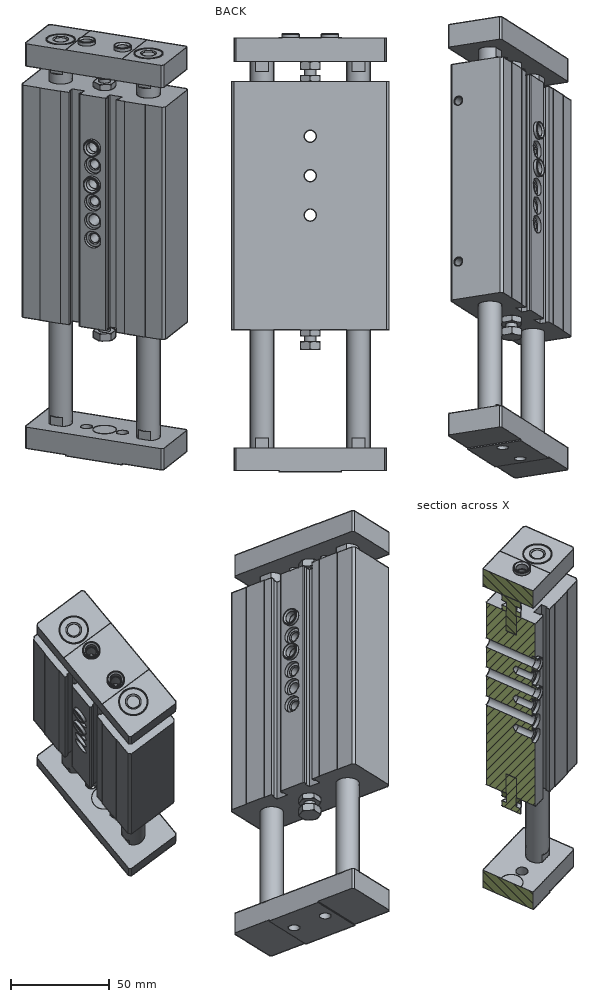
import cadquery as cq


HOUSING_WIDTH = 80.0
HOUSING_DEPTH = 29.8
HOUSING_HEIGHT = 126.0
HOUSING_CHAMFER = 1.3
HOUSING_FRONT = -14.7
HOUSING_CENTER_Y = HOUSING_FRONT + HOUSING_DEPTH / 2

PLATE_WIDTH = 77.2
PLATE_FRONT = -13.3
PLATE_BACK = 17.1
PLATE_DEPTH = PLATE_BACK - PLATE_FRONT
PLATE_CENTER_Y = (PLATE_FRONT + PLATE_BACK) / 2
PLATE_THICKNESS = 12.2
PLATE_CHAMFER = 1.0
BOTTOM_GAP = 59.8
TOP_GAP = 10.0
ROD_DIAMETER = 12.0
ROD_OFFSET = 24.5
ROD_FLAT_LENGTH = 5.0
ROD_ACROSS_FLATS = 10.0
LAND_WIDTH = 31.5
BOTTOM_LAND_HEIGHT = 0.7
TOP_LAND_HEIGHT = 0.11
RING_OUTER_DIAMETER = 15.0
RING_INNER_DIAMETER = 14.0
RING_DEPTH = 0.2
DIMPLE_DIAMETER = 8.0
DIMPLE_FLOOR_DIAMETER = 6.5
DIMPLE_DEPTH = 0.5
PAD_DIAMETER = 12.0
PAD_DEPTH = 0.11

HOUSING_BOTTOM = PLATE_THICKNESS + BOTTOM_GAP
HOUSING_TOP = HOUSING_BOTTOM + HOUSING_HEIGHT
TOP_PLATE_BOTTOM = HOUSING_TOP + TOP_GAP
TOP_PLATE_TOP = TOP_PLATE_BOTTOM + PLATE_THICKNESS

SLOT_INNER = 7.8
SLOT_OUTER = 13.1
SLOT_DEPTH = 5.3
SLOT_LIP = 2.0
SLOT_UNDERCUT = 0.7
RIDGE_CHAMFER = 0.7
STRIP_INNER = 17.8
STRIP_OUTER = 29.4
STRIP_HEIGHT = 0.2

HOLE_PITCH = 10.0
HOLE_COUNT = 6
FIRST_HOLE_DROP = 27.8
HOLE_DIAMETER = 6.0
BLIND_DIAMETER = 5.0
BLIND_DEPTH = 10.0
DRILL_POINT_RATIO = 0.6
SLEEVE_DIAMETER = 9.0
SLEEVE_BORE = 6.0
SLEEVE_LENGTH = 4.0
SLEEVE_SEAT_DEPTH = 2.0
SLEEVE_CHAMFER = 0.33
SLEEVE_BORE_CHAMFER = 1.0
SLEEVED_HOLES = (0, 2)
PLATE_HOLE_OFFSET = HOLE_PITCH

PORT_DIAMETER = 4.2
PORT_MOUTH_DIAMETER = 5.0
PORT_Y = 10.2
PORT_END_DISTANCE = 20.0
PORT_DEPTH = 6.7

SHANK_DIAMETER = 6.0
SHANK_INSERTION = 13.3
STOP_PROJECTION = 10.0
HEAD_HEIGHT = 4.0
NUT_HEIGHT = 3.1
HEX_ACROSS_FLATS = 10.0
HEX_ACROSS_CORNERS = HEX_ACROSS_FLATS * 2 / 3**0.5
HEX_CHAMFER = 0.5


def cylinder(diameter, height, base, direction):
    """Solid cylinder standing on the point `base` and pointing along `direction`."""
    solid = cq.Solid.makeCylinder(diameter / 2, height, cq.Vector(*base), cq.Vector(*direction))
    return cq.Workplane(solid)


def cone(base_diameter, end_diameter, height, base, direction):
    """Solid cone standing on the point `base` and pointing along `direction`."""
    start = cq.Vector(*base)
    axis = cq.Vector(*direction)
    return cq.Workplane(cq.Solid.makeCone(base_diameter / 2, end_diameter / 2, height, start, axis))


def along(point, direction, distance):
    """The point reached from `point` by going `distance` along `direction`."""
    return tuple(p + distance * d for p, d in zip(point, direction))


def drilled_hole(diameter, depth, mouth, direction):
    """Blind hole tool with a conical drill point at its end."""
    tip = along(mouth, direction, depth)
    point_height = DRILL_POINT_RATIO * diameter / 2
    return cylinder(diameter, depth, mouth, direction).union(cone(diameter, 0, point_height, tip, direction))


def front_hole_height(index):
    return HOUSING_TOP - FIRST_HOLE_DROP - index * HOLE_PITCH



def housing_profile():
    """Extruded block with two front T-slots and two slightly raised front strips."""
    block = (
        cq.Workplane("XY", origin=(0, HOUSING_CENTER_Y, HOUSING_BOTTOM))
        .rect(HOUSING_WIDTH, HOUSING_DEPTH)
        .extrude(HOUSING_HEIGHT)
        .edges("|Z")
        .chamfer(HOUSING_CHAMFER)
    )
    for side in (-1, 1):
        slot = (
            cq.Workplane("XY", origin=(0, 0, HOUSING_BOTTOM))
            .moveTo(side * (SLOT_INNER - RIDGE_CHAMFER), HOUSING_FRONT)
            .lineTo(side * SLOT_INNER, HOUSING_FRONT + RIDGE_CHAMFER)
            .lineTo(side * SLOT_INNER, HOUSING_FRONT + SLOT_LIP)
            .lineTo(side * (SLOT_INNER - SLOT_UNDERCUT), HOUSING_FRONT + SLOT_LIP)
            .lineTo(side * (SLOT_INNER - SLOT_UNDERCUT), HOUSING_FRONT + SLOT_DEPTH)
            .lineTo(side * (SLOT_OUTER + SLOT_UNDERCUT), HOUSING_FRONT + SLOT_DEPTH)
            .lineTo(side * (SLOT_OUTER + SLOT_UNDERCUT), HOUSING_FRONT + SLOT_LIP)
            .lineTo(side * SLOT_OUTER, HOUSING_FRONT + SLOT_LIP)
            .lineTo(side * SLOT_OUTER, HOUSING_FRONT)
            .close()
            .extrude(HOUSING_HEIGHT)
        )
        strip = (
            cq.Workplane("XY", origin=(side * (STRIP_INNER + STRIP_OUTER) / 2, HOUSING_FRONT, HOUSING_BOTTOM))
            .rect(STRIP_OUTER - STRIP_INNER, 2 * STRIP_HEIGHT)
            .extrude(HOUSING_HEIGHT)
        )
        block = block.cut(slot).union(strip)
    return block


def cut_front_holes(block):
    """Row of seated holes in the ridge: every other one passes through, the rest are blind."""
    inward = (0, 1, 0)
    for index in range(HOLE_COUNT):
        z = front_hole_height(index)
        mouth = (0, HOUSING_FRONT, z)
        seat_floor = (0, HOUSING_FRONT + SLEEVE_SEAT_DEPTH, z)
        block = block.cut(cylinder(SLEEVE_DIAMETER, SLEEVE_SEAT_DEPTH, mouth, inward))
        if index % 2 == 0:
            block = block.cut(cylinder(HOLE_DIAMETER, HOUSING_DEPTH, seat_floor, inward))
        else:
            countersink_depth = (HOLE_DIAMETER - BLIND_DIAMETER) / 2
            block = block.cut(cone(HOLE_DIAMETER, BLIND_DIAMETER, countersink_depth, seat_floor, inward))
            block = block.cut(drilled_hole(BLIND_DIAMETER, BLIND_DEPTH, seat_floor, inward))
    return block


def cut_ports(block):
    inward = (1, 0, 0)
    mouth_depth = (PORT_MOUTH_DIAMETER - PORT_DIAMETER) / 2
    for z in (HOUSING_BOTTOM + PORT_END_DISTANCE, HOUSING_TOP - PORT_END_DISTANCE):
        mouth = (-HOUSING_WIDTH / 2, PORT_Y, z)
        block = block.cut(cone(PORT_MOUTH_DIAMETER, PORT_DIAMETER, mouth_depth, mouth, inward))
        block = block.cut(drilled_hole(PORT_DIAMETER, PORT_DEPTH, mouth, inward))
    return block


def cut_rod_and_stop_bores(block):
    for x in (-ROD_OFFSET, ROD_OFFSET):
        block = block.cut(cylinder(ROD_DIAMETER, HOUSING_HEIGHT, (x, 0, HOUSING_BOTTOM), (0, 0, 1)))
    for z, inward in ((HOUSING_BOTTOM, 1), (HOUSING_TOP, -1)):
        block = block.cut(cylinder(SHANK_DIAMETER, SHANK_INSERTION, (0, 0, z), (0, 0, inward)))
    return block


def make_housing():
    return cut_rod_and_stop_bores(cut_ports(cut_front_holes(housing_profile())))



def end_plate(bottom):
    return (
        cq.Workplane("XY", origin=(0, PLATE_CENTER_Y, bottom))
        .rect(PLATE_WIDTH, PLATE_DEPTH)
        .extrude(PLATE_THICKNESS)
        .edges("|Z")
        .chamfer(PLATE_CHAMFER)
    )


def cut_beside_land(plate, face_z, land_height):
    """Lower an outer plate face on both sides of its central land."""
    side_width = (PLATE_WIDTH - LAND_WIDTH) / 2
    for side in (-1, 1):
        step = cq.Workplane("XY").box(side_width, PLATE_DEPTH, 2 * land_height)
        center = (side * (LAND_WIDTH + side_width) / 2, PLATE_CENTER_Y, face_z)
        plate = plate.cut(step.translate(center))
    return plate


def make_bottom_plate():
    plate = cut_beside_land(end_plate(0), 0, BOTTOM_LAND_HEIGHT)
    for x in (-PLATE_HOLE_OFFSET, PLATE_HOLE_OFFSET):
        plate = plate.cut(cylinder(HOLE_DIAMETER, PLATE_THICKNESS, (x, 0, 0), (0, 0, 1)))
    return plate.cut(cylinder(PAD_DIAMETER, PAD_DEPTH, (0, 0, PLATE_THICKNESS), (0, 0, -1)))


def make_top_plate():
    """Top plate with sleeve seats, and a ring groove and a dimple above each rod."""
    plate = cut_beside_land(end_plate(TOP_PLATE_BOTTOM), TOP_PLATE_TOP, TOP_LAND_HEIGHT)
    down = (0, 0, -1)
    for x in (-PLATE_HOLE_OFFSET, PLATE_HOLE_OFFSET):
        plate = plate.cut(cylinder(SLEEVE_DIAMETER, SLEEVE_SEAT_DEPTH, (x, 0, TOP_PLATE_TOP), down))
        plate = plate.cut(cylinder(BLIND_DIAMETER, PLATE_THICKNESS, (x, 0, TOP_PLATE_TOP), down))
    outer_face = TOP_PLATE_TOP - TOP_LAND_HEIGHT
    for x in (-ROD_OFFSET, ROD_OFFSET):
        center = (x, 0, outer_face)
        ring = cylinder(RING_OUTER_DIAMETER, RING_DEPTH, center, down).cut(
            cylinder(RING_INNER_DIAMETER, RING_DEPTH, center, down)
        )
        dimple = cone(DIMPLE_DIAMETER, DIMPLE_FLOOR_DIAMETER, DIMPLE_DEPTH, center, down)
        plate = plate.cut(ring).cut(dimple)
    return plate


def make_rod(x):
    """Rod between the plates, with wrench flats on front and back next to each plate."""
    rod_length = TOP_PLATE_BOTTOM - PLATE_THICKNESS
    rod = cylinder(ROD_DIAMETER, rod_length, (x, 0, PLATE_THICKNESS), (0, 0, 1))
    flat_centers = (PLATE_THICKNESS + ROD_FLAT_LENGTH / 2, TOP_PLATE_BOTTOM - ROD_FLAT_LENGTH / 2)
    for z in flat_centers:
        for side in (-1, 1):
            y = side * (ROD_ACROSS_FLATS + ROD_DIAMETER) / 2
            flat = cq.Workplane("XY").box(ROD_DIAMETER, ROD_DIAMETER, ROD_FLAT_LENGTH)
            rod = rod.cut(flat.translate((x, y, z)))
    return rod


def make_slide():
    slide = make_bottom_plate().union(make_top_plate())
    for x in (-ROD_OFFSET, ROD_OFFSET):
        slide = slide.union(make_rod(x))
    return slide



def make_sleeve(face_point, outward):
    """Centring sleeve half sunk in its seat, `face_point` being the centre of the seat's mouth."""
    base = along(face_point, outward, -SLEEVE_SEAT_DEPTH)
    outer_end = cq.selectors.DirectionMinMaxSelector(cq.Vector(*outward), True)
    body = cylinder(SLEEVE_DIAMETER, SLEEVE_LENGTH, base, outward).faces(outer_end).chamfer(SLEEVE_CHAMFER)
    end = along(base, outward, SLEEVE_LENGTH)
    inward = tuple(-d for d in outward)
    mouth = cone(SLEEVE_BORE + 2 * SLEEVE_BORE_CHAMFER, SLEEVE_BORE, SLEEVE_BORE_CHAMFER, end, inward)
    return body.cut(cylinder(SLEEVE_BORE, SLEEVE_LENGTH, base, outward)).cut(mouth)



def hexagon(height):
    """Hexagonal prism on Z = 0 with two corners on the Y axis and its corners chamfered at both ends."""
    prism = cq.Workplane("XY").polygon(6, HEX_ACROSS_CORNERS).extrude(height).rotate((0, 0, 0), (0, 0, 1), 90)
    envelope = cylinder(HEX_ACROSS_CORNERS, height, (0, 0, 0), (0, 0, 1))
    envelope = envelope.edges("%CIRCLE").chamfer(HEX_CHAMFER)
    return prism.intersect(envelope)


def place_at_end(body, at_top):
    """Move a stop part, modelled upward from Z = 0, onto the top or bottom end of the housing."""
    if at_top:
        return body.translate((0, 0, HOUSING_TOP))
    return body.mirror("XY").translate((0, 0, HOUSING_BOTTOM))


def make_stop_screw(at_top):
    shank_length = SHANK_INSERTION + STOP_PROJECTION - HEAD_HEIGHT
    shank = cylinder(SHANK_DIAMETER, shank_length, (0, 0, -SHANK_INSERTION), (0, 0, 1))
    head = hexagon(HEAD_HEIGHT).translate((0, 0, STOP_PROJECTION - HEAD_HEIGHT))
    return place_at_end(shank.union(head), at_top)


def make_lock_nut(at_top):
    nut = hexagon(NUT_HEIGHT).cut(cylinder(SHANK_DIAMETER, NUT_HEIGHT, (0, 0, 0), (0, 0, 1)))
    return place_at_end(nut, at_top)



housing = make_housing()
slide = make_slide()

sleeves = []
for index in SLEEVED_HOLES:
    sleeves.append(make_sleeve((0, HOUSING_FRONT, front_hole_height(index)), (0, -1, 0)))
for x in (-PLATE_HOLE_OFFSET, PLATE_HOLE_OFFSET):
    sleeves.append(make_sleeve((x, 0, TOP_PLATE_TOP), (0, 0, 1)))

stop_screws = [make_stop_screw(at_top) for at_top in (False, True)]
lock_nuts = [make_lock_nut(at_top) for at_top in (False, True)]

bodies = [housing, slide, *sleeves, *stop_screws, *lock_nuts]
result = cq.Compound.makeCompound([body.solids().val() for body in bodies])